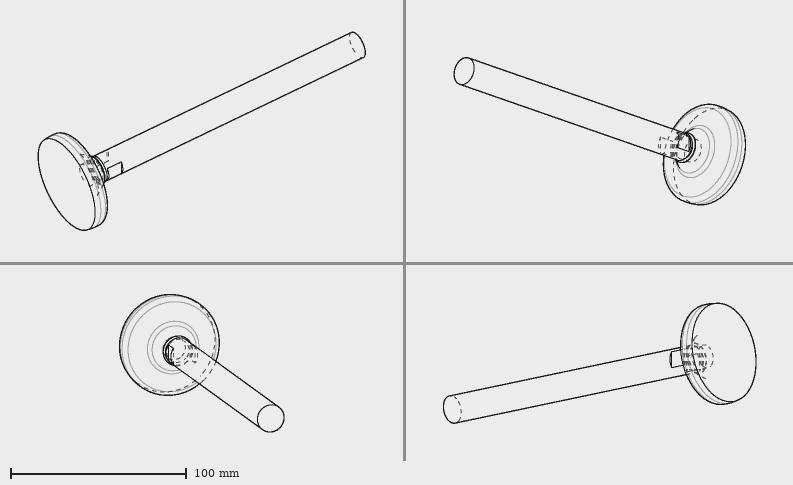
import cadquery as cq

total_length = 202.0
sole_y = -total_length / 2

foot_radius = 58.0 / 2
sole_radius = 28.5
sole_taper_height = 3.6
rim_top_height = 6.9
shoulder_radius = 26.3
shoulder_height = 9.7
shoulder_arc_mid_radius = 28.0
shoulder_arc_mid_height = 8.9
plate_inner_radius = 15.4
plate_inner_height = 11.7
flare_mid_radius = 14.0
flare_mid_height = 12.5
dome_base_radius = 13.1
dome_base_height = 13.7
dome_mid_radius = 11.1
dome_mid_height = 17.2
lip_radius = 8.7
lip_base_height = 20.5
lip_top_height = 20.8

stem_radius = 16.0 / 2
neck_radius = 6.7
neck_bottom_height = dome_base_height
neck_top_height = lip_top_height
collar_base_height = 22.6
flat_bottom_height = 23.8
flat_length = 9.7
across_flats = 13.0


def revolve_about_axis(half_outline):
    """Turn a closed (radius, Y) outline once around the Y axis and seat it on the sole plane."""
    turned = half_outline.close().revolve(360, (0, 0, 0), (0, 1, 0))
    return turned.translate((0, sole_y, 0))


def make_foot():
    """Round foot plate rising through a flare and a dome, with a blind socket for the stem neck."""
    outline = (
        cq.Workplane("XY")
        .lineTo(sole_radius, 0)
        .lineTo(foot_radius, sole_taper_height)
        .lineTo(foot_radius, rim_top_height)
        .threePointArc(
            (shoulder_arc_mid_radius, shoulder_arc_mid_height),
            (shoulder_radius, shoulder_height),
        )
        .lineTo(plate_inner_radius, plate_inner_height)
        .threePointArc((flare_mid_radius, flare_mid_height), (dome_base_radius, dome_base_height))
        .threePointArc((dome_mid_radius, dome_mid_height), (lip_radius, lip_base_height))
        .lineTo(lip_radius, lip_top_height)
        .lineTo(neck_radius, lip_top_height)
        .lineTo(neck_radius, neck_bottom_height)
        .lineTo(0, neck_bottom_height)
    )
    return revolve_about_axis(outline)


def make_stem():
    """Long round stem with a tapered end, a narrower neck and two opposite wrench flats."""
    outline = (
        cq.Workplane("XY")
        .moveTo(0, neck_bottom_height)
        .lineTo(neck_radius, neck_bottom_height)
        .lineTo(neck_radius, neck_top_height)
        .lineTo(stem_radius, collar_base_height)
        .lineTo(stem_radius, total_length)
        .lineTo(0, total_length)
    )
    stem = revolve_about_axis(outline)
    flat_center_y = sole_y + flat_bottom_height + flat_length / 2
    cutter_width = stem_radius
    for side in (-1, 1):
        cutter_x = side * (across_flats + cutter_width) / 2
        cutter = cq.Workplane("XY").box(cutter_width, flat_length, 2 * stem_radius)
        stem = stem.cut(cutter.translate((cutter_x, flat_center_y, 0)))
    return stem


foot = make_foot()
stem = make_stem()

result = cq.Compound.makeCompound([foot.val(), stem.val()])